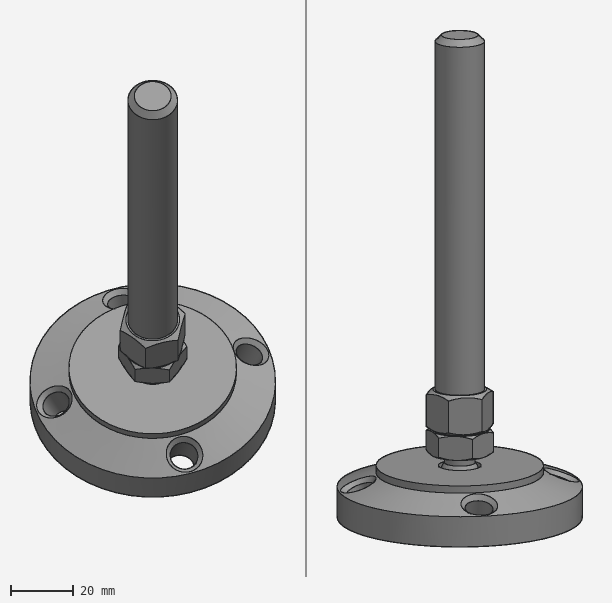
import cadquery as cq
import math

total_height = 160.0

plate_diameter = 79.0
rim_height = 10.1
pad_diameter = 54.0
pad_bottom = 14.7
plate_height = 17.1

hole_count = 4
hole_diameter = 9.0
countersink_diameter = 12.2
countersink_depth = (countersink_diameter - hole_diameter) / 2
hole_radius = (plate_diameter + pad_diameter) / 4
hole_entry_height = (rim_height + pad_bottom) / 2
cone_rise = pad_bottom - rim_height
cone_run = (plate_diameter - pad_diameter) / 2
tilt = math.atan2(cone_rise, cone_run)
hole_length = 2 * plate_height
tool_overrun = 1.6

neck_diameter = 10.0
neck_bottom = 18.1
rod_diameter = 16.0
rod_chamfer = 2.1

ball_diameter = 13.0
ball_radius = ball_diameter / 2
ball_centre_height = neck_bottom - math.sqrt(ball_radius**2 - (neck_diameter / 2) ** 2)
socket_diameter = 13.8
socket_floor = ball_centre_height - ball_radius

across_flats = 19.0
across_corners = across_flats / math.cos(math.pi / 6)
hex_face_diameter = 17.3
nut_face_diameter = across_flats
hex_chamfer_angle = 30.0
nut_bottom = 21.1
nut_height = 8.0
nut_top = nut_bottom + nut_height
nut_turn = 11.0
hex_top = 42.4
hex_turn = 90.0


def cylinder(diameter, bottom, top):
    return cq.Workplane("XY").workplane(offset=bottom).circle(diameter / 2).extrude(top - bottom)


def chamfered_hexagon(bottom, top, face_diameter, turn):
    """Hexagonal prism with its corners turned down conically at both ends."""
    prism = cq.Workplane("XY").workplane(offset=bottom).polygon(6, across_corners).extrude(top - bottom)
    prism = prism.rotate((0, 0, 0), (0, 0, 1), turn)
    face_radius = face_diameter / 2
    corner_radius = across_corners / 2
    chamfer_height = (corner_radius - face_radius) * math.tan(math.radians(hex_chamfer_angle))
    envelope = (
        cq.Workplane("XZ")
        .moveTo(0, bottom)
        .lineTo(face_radius, bottom)
        .lineTo(corner_radius, bottom + chamfer_height)
        .lineTo(corner_radius, top - chamfer_height)
        .lineTo(face_radius, top)
        .lineTo(0, top)
        .close()
        .revolve(360, (0, 0, 0), (0, 1, 0))
    )
    return prism.intersect(envelope)


def mounting_hole_cutter(angle):
    """Countersunk hole whose axis leans towards the centre as it goes down."""
    outward = cq.Vector(math.sin(tilt), 0, math.cos(tilt))
    entry = cq.Vector(hole_radius, 0, hole_entry_height)
    drill = cq.Solid.makeCylinder(hole_diameter / 2, hole_length, entry, -outward)
    countersink = cq.Solid.makeCone(
        countersink_diameter / 2, hole_diameter / 2, countersink_depth, entry, -outward
    )
    clearance = cq.Solid.makeCylinder(countersink_diameter / 2, tool_overrun, entry, outward)
    cutter = cq.Workplane(drill).union(cq.Workplane(countersink)).union(cq.Workplane(clearance))
    return cutter.rotate((0, 0, 0), (0, 0, 1), angle)


def make_foot_plate():
    plate = (
        cq.Workplane("XZ")
        .lineTo(plate_diameter / 2, 0)
        .lineTo(plate_diameter / 2, rim_height)
        .lineTo(pad_diameter / 2, pad_bottom)
        .lineTo(pad_diameter / 2, plate_height)
        .lineTo(0, plate_height)
        .close()
        .revolve(360, (0, 0, 0), (0, 1, 0))
    )
    for index in range(hole_count):
        plate = plate.cut(mounting_hole_cutter(index * 360 / hole_count))
    return plate.cut(cylinder(socket_diameter, socket_floor, plate_height))


def make_lock_nut():
    nut = chamfered_hexagon(nut_bottom, nut_top, nut_face_diameter, nut_turn)
    return nut.cut(cylinder(neck_diameter, nut_bottom, nut_top))


def make_spindle():
    ball = cq.Workplane("XY").sphere(ball_radius).translate((0, 0, ball_centre_height))
    neck = cylinder(neck_diameter, ball_centre_height, nut_top)
    hexagon = chamfered_hexagon(nut_top, hex_top, hex_face_diameter, hex_turn)
    rod = cylinder(rod_diameter, hex_top, total_height).faces(">Z").chamfer(rod_chamfer)
    return ball.union(neck).union(hexagon).union(rod)


foot_plate = make_foot_plate()
lock_nut = make_lock_nut()
spindle = make_spindle()

result = cq.Compound.makeCompound([foot_plate.val(), lock_nut.val(), spindle.val()])